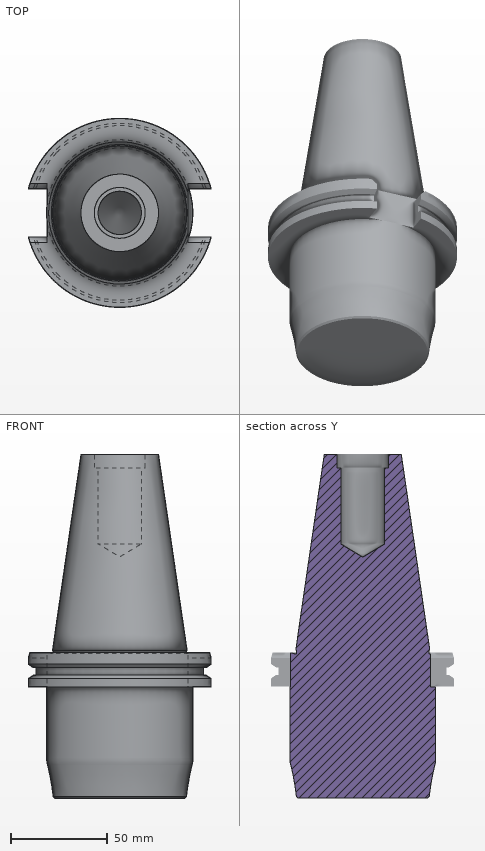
import cadquery as cq
import math

total_height = 178.6
flange_bottom = 57.9
flange_top = 75.7
neck_top = 76.8
taper_bottom = 77.3

body_radius = 76.0 / 2
nose_bottom_radius = 34.6
nose_chamfer = 0.9
nose_taper_radius = 37.5
nose_taper_top = 17.1
nose_blend_top = 20.9
nose_bulge = 0.27
blend_bulge = 0.2

flange_radius = 98.2 / 2
groove_radius = 45.4
groove_bottom = 62.2
groove_top = 69.7
groove_flank_height = 1.8
groove_lip_radius = 46.6

taper_base_radius = 69.8 / 2
taper_ratio = 7 / 24
taper_top_radius = taper_base_radius - (total_height - taper_bottom) * taper_ratio / 2
neck_radius = 69.3 / 2
neck_recess_radius = 37.0
neck_recess_floor_radius = 35.5
neck_recess_depth = 0.5

notch_width = 25.0
notch_chamfer = 2.9
left_notch_floor = 37.7
right_notch_floor = 35.4

counterbore_diameter = 26.5
counterbore_depth = 7.0
hole_diameter = 22.5
hole_depth = 46.5
drill_tip_angle = 118.0


def bowed_midpoint(start, end, bow):
    """Middle of the segment, moved radially by bow."""
    return ((start[0] + end[0]) / 2 + bow, (start[1] + end[1]) / 2)


def make_turned_body():
    nose_start = (nose_bottom_radius, nose_chamfer)
    nose_end = (nose_taper_radius, nose_taper_top)
    blend_end = (body_radius, nose_blend_top)
    return (
        cq.Workplane("XZ")
        .moveTo(0, 0)
        .lineTo(nose_bottom_radius - nose_chamfer, 0)
        .lineTo(*nose_start)
        .threePointArc(bowed_midpoint(nose_start, nose_end, -nose_bulge), nose_end)
        .threePointArc(bowed_midpoint(nose_end, blend_end, blend_bulge), blend_end)
        .lineTo(body_radius, flange_bottom)
        .lineTo(flange_radius, flange_bottom)
        .lineTo(flange_radius, groove_bottom)
        .lineTo(groove_lip_radius, groove_bottom + groove_flank_height)
        .lineTo(groove_radius, groove_bottom + groove_flank_height)
        .lineTo(groove_radius, groove_top - groove_flank_height)
        .lineTo(groove_lip_radius, groove_top - groove_flank_height)
        .lineTo(flange_radius, groove_top)
        .lineTo(flange_radius, flange_top)
        .lineTo(neck_recess_radius, flange_top)
        .lineTo(neck_recess_floor_radius, flange_top - neck_recess_depth)
        .lineTo(neck_radius, flange_top - neck_recess_depth)
        .lineTo(neck_radius, neck_top)
        .lineTo(taper_base_radius, neck_top)
        .lineTo(taper_base_radius, taper_bottom)
        .lineTo(taper_top_radius, total_height)
        .lineTo(0, total_height)
        .close()
        .revolve(360, (0, 0, 0), (0, 1, 0))
    )


def make_notch(floor, direction):
    """Notch through the flange, chamfered at its top; direction is the sign along X."""
    half_width = notch_width / 2
    half_mouth = half_width + notch_chamfer
    return (
        cq.Workplane("YZ", origin=(direction * floor, 0, 0))
        .polyline([
            (-half_width, flange_bottom),
            (half_width, flange_bottom),
            (half_width, flange_top - notch_chamfer),
            (half_mouth, flange_top),
            (-half_mouth, flange_top),
            (-half_width, flange_top - notch_chamfer),
        ])
        .close()
        .extrude(direction * flange_radius)
    )


def make_draw_bar_hole():
    hole_radius = hole_diameter / 2
    counterbore_radius = counterbore_diameter / 2
    counterbore_floor = total_height - counterbore_depth
    hole_bottom = total_height - hole_depth
    tip_height = hole_radius / math.tan(math.radians(drill_tip_angle / 2))
    return (
        cq.Workplane("XZ")
        .polyline([
            (0, total_height),
            (counterbore_radius, total_height),
            (counterbore_radius, counterbore_floor),
            (hole_radius, counterbore_floor),
            (hole_radius, hole_bottom),
            (0, hole_bottom - tip_height),
        ])
        .close()
        .revolve(360, (0, 0, 0), (0, 1, 0))
    )


result = (
    make_turned_body()
    .cut(make_notch(left_notch_floor, -1))
    .cut(make_notch(right_notch_floor, 1))
    .cut(make_draw_bar_hole())
)